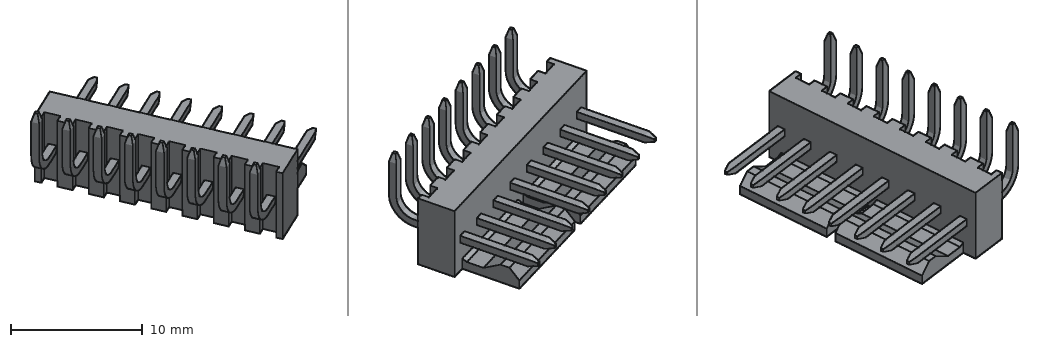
import cadquery as cq


housing_length = 20.17
housing_depth = 3.2
housing_height = 6.33

pin_count = 8
pin_pitch = 2.55
pin_thickness = 0.67
pin_axis_height = 3.07
pin_top = 8.9
mating_reach = 6.7
tail_reach = 3.05
bend_outer_radius = 2.2
tip_length = 0.75
tip_width = 0.26

groove_width = 1.31
groove_depth = 0.65

latch_reach = 5.0
latch_gap = 0.85
latch_thickness = 0.8
latch_nose_height = 1.7
latch_lead_in = 0.87
latch_nose_end = 1.65
latch_ramp_end = 3.15
latch_root_start = 4.6
latch_root_height = 0.99

pin_row_length = (pin_count - 1) * pin_pitch
pin_centres = [index * pin_pitch - pin_row_length / 2 for index in range(pin_count)]
half_pin = pin_thickness / 2


def make_housing():
    """Block with a full-height groove in its front face at every pin."""
    housing = cq.Workplane("XY").box(
        housing_length, housing_depth, housing_height, centered=(True, False, False)
    )
    groove = cq.Workplane("XY").box(
        groove_width, groove_depth, housing_height, centered=(True, False, False)
    )
    for centre in pin_centres:
        housing = housing.cut(groove.translate((centre, 0, 0)))
    return housing


def make_latch(start, end):
    """Hooked tongue behind the housing, from X=start to X=end."""
    tip = housing_depth + latch_reach
    profile = (
        cq.Workplane("YZ")
        .moveTo(housing_depth, 0)
        .lineTo(tip, 0)
        .lineTo(tip, latch_thickness)
        .lineTo(tip - latch_lead_in, latch_nose_height)
        .lineTo(tip - latch_nose_end, latch_nose_height)
        .lineTo(tip - latch_ramp_end, latch_thickness)
        .lineTo(tip - latch_root_start, latch_thickness)
        .lineTo(housing_depth, latch_root_height)
        .close()
    )
    return profile.extrude(end - start).translate((start, 0, 0))


def make_tip(base_plane):
    """Square taper that ends a pin, growing along the normal of base_plane."""
    return (
        cq.Workplane(base_plane)
        .rect(pin_thickness, pin_thickness)
        .workplane(offset=tip_length)
        .rect(tip_width, tip_width)
        .loft(ruled=True)
    )


def make_pin():
    """Bent square pin centred on X=0, tapered at both ends."""
    mating_shoulder = housing_depth + mating_reach - tip_length
    tail_shoulder = pin_top - tip_length
    tail_axis = half_pin - tail_reach
    bend_radius = bend_outer_radius - half_pin
    path = (
        cq.Workplane("YZ")
        .moveTo(mating_shoulder, pin_axis_height)
        .lineTo(tail_axis + bend_radius, pin_axis_height)
        .radiusArc((tail_axis, pin_axis_height + bend_radius), bend_radius)
        .lineTo(tail_axis, tail_shoulder)
    )
    mating_end = cq.Plane(
        origin=(0, mating_shoulder, pin_axis_height), xDir=(1, 0, 0), normal=(0, 1, 0)
    )
    tail_end = cq.Plane(origin=(0, tail_axis, tail_shoulder), xDir=(1, 0, 0), normal=(0, 0, 1))
    shank = cq.Workplane(mating_end).rect(pin_thickness, pin_thickness).sweep(path)
    return shank.union(make_tip(mating_end)).union(make_tip(tail_end))


result = make_housing()

latch_outer_end = pin_row_length / 2
latch_inner_end = latch_gap / 2
result = result.union(make_latch(-latch_outer_end, -latch_inner_end))
result = result.union(make_latch(latch_inner_end, latch_outer_end))

pin = make_pin()
for centre in pin_centres:
    result = result.union(pin.translate((centre, 0, 0)))